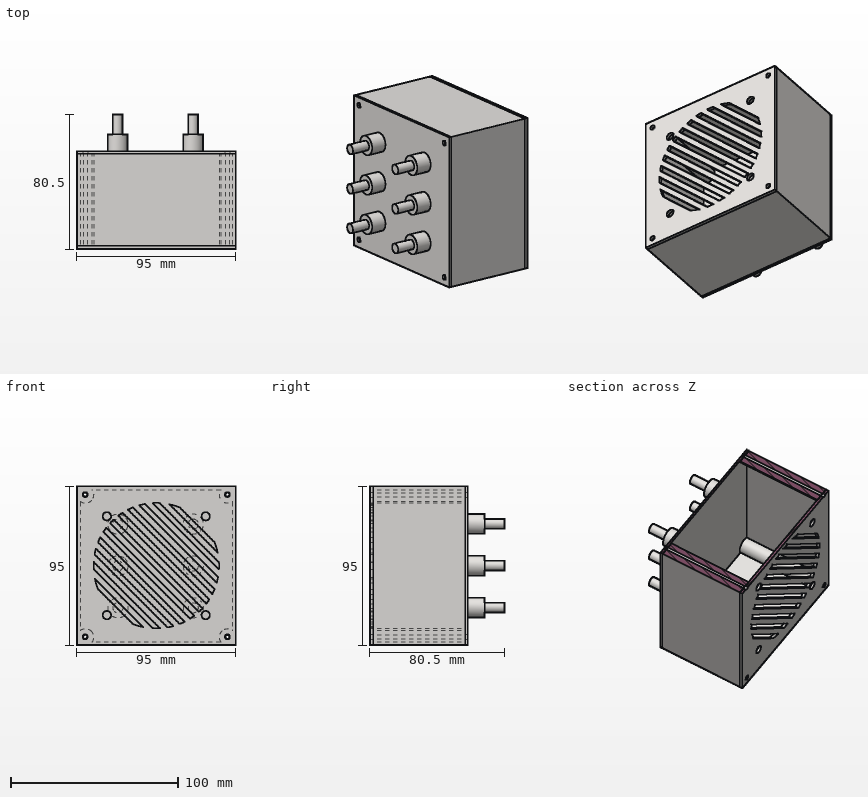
import cadquery as cq

SIDE = 95.0
FRONT_THICKNESS = 2.0
FRAME_DEPTH = 55.0
BACK_THICKNESS = 1.5
WALL = 2.0

SCREW_INSET = 5.0
SCREW_SPACING = SIDE - 2 * SCREW_INSET
SCREW_CLEARANCE_DIAMETER = 3.0
SCREW_PILOT_DIAMETER = 2.4
POST_RADIUS = SCREW_INSET

GRILLE_DIAMETER = 75.0
SLOT_COUNT = 11
SLOT_WIDTH = 3.0
SLOT_PITCH = 6.6
SLOT_ANGLE = 45.0
FAN_HOLE_DIAMETER = 5.0
FAN_HOLE_SPACING = 59.0

TERMINAL_COLUMN_SPACING = 45.0
TERMINAL_ROW_SPACING = 25.0
TERMINAL_SHIFT_X = -0.55
TERMINAL_COLUMNS = 2
TERMINAL_ROWS = 3
TERMINAL_BASE_DIAMETER = 12.0
TERMINAL_BASE_LENGTH = 10.0
TERMINAL_TIP_DIAMETER = 6.0
TERMINAL_TIP_LENGTH = 12.0

FRAME_FRONT_Y = FRONT_THICKNESS
BACK_PANEL_Y = FRAME_FRONT_Y + FRAME_DEPTH
BACK_FACE_Y = BACK_PANEL_Y + BACK_THICKNESS


def plane_at(y):
    """Plane at depth y with local x along X, local y along Z and normal toward -Y."""
    return cq.Workplane(cq.Plane(origin=(0, y, 0), xDir=(1, 0, 0), normal=(0, -1, 0)))


def square(y, side, depth):
    """Square block centred on the box axis, from depth y toward +Y."""
    return plane_at(y).rect(side, side).extrude(-depth)


def four_cylinders(y, spacing, diameter, depth):
    """Cylinders on the corners of a centred square, from depth y toward +Y."""
    corners = plane_at(y).rect(spacing, spacing, forConstruction=True).vertices()
    return corners.circle(diameter / 2).extrude(-depth)


def make_grille():
    """Parallel diagonal bars cut to a circle: the air openings of the front panel."""
    bars = (
        plane_at(0)
        .transformed(rotate=(0, 0, -SLOT_ANGLE))
        .rarray(1, SLOT_PITCH, 1, SLOT_COUNT)
        .rect(GRILLE_DIAMETER, SLOT_WIDTH)
        .extrude(-FRONT_THICKNESS)
    )
    disc = plane_at(0).circle(GRILLE_DIAMETER / 2).extrude(-FRONT_THICKNESS)
    return bars.intersect(disc)


def make_front_panel():
    """Front plate with the grille, fan mounting holes and screw holes."""
    panel = square(0, SIDE, FRONT_THICKNESS)
    panel = panel.cut(make_grille())
    panel = panel.cut(four_cylinders(0, FAN_HOLE_SPACING, FAN_HOLE_DIAMETER, FRONT_THICKNESS))
    return panel.cut(four_cylinders(0, SCREW_SPACING, SCREW_CLEARANCE_DIAMETER, FRONT_THICKNESS))


def make_frame():
    """Open square tube with a screw post in each inside corner."""
    frame = square(FRAME_FRONT_Y, SIDE, FRAME_DEPTH)
    frame = frame.cut(square(FRAME_FRONT_Y, SIDE - 2 * WALL, FRAME_DEPTH))
    frame = frame.union(four_cylinders(FRAME_FRONT_Y, SCREW_SPACING, 2 * POST_RADIUS, FRAME_DEPTH))
    return frame.cut(four_cylinders(FRAME_FRONT_Y, SCREW_SPACING, SCREW_PILOT_DIAMETER, FRAME_DEPTH))


def terminal_cylinders(y, diameter, length):
    """One cylinder at every terminal position, from depth y toward +Y."""
    return (
        plane_at(y)
        .center(TERMINAL_SHIFT_X, 0)
        .rarray(TERMINAL_COLUMN_SPACING, TERMINAL_ROW_SPACING, TERMINAL_COLUMNS, TERMINAL_ROWS)
        .circle(diameter / 2)
        .extrude(-length)
    )


def make_back_panel():
    """Back plate with screw holes and the terminals, all one piece."""
    panel = square(BACK_PANEL_Y, SIDE, BACK_THICKNESS)
    panel = panel.cut(four_cylinders(BACK_PANEL_Y, SCREW_SPACING, SCREW_CLEARANCE_DIAMETER, BACK_THICKNESS))
    panel = panel.union(terminal_cylinders(BACK_FACE_Y, TERMINAL_BASE_DIAMETER, TERMINAL_BASE_LENGTH))
    tip_y = BACK_FACE_Y + TERMINAL_BASE_LENGTH
    return panel.union(terminal_cylinders(tip_y, TERMINAL_TIP_DIAMETER, TERMINAL_TIP_LENGTH))


front_panel = make_front_panel()
frame = make_frame()
back_panel = make_back_panel()

result = cq.Compound.makeCompound([front_panel.val(), frame.val(), back_panel.val()])